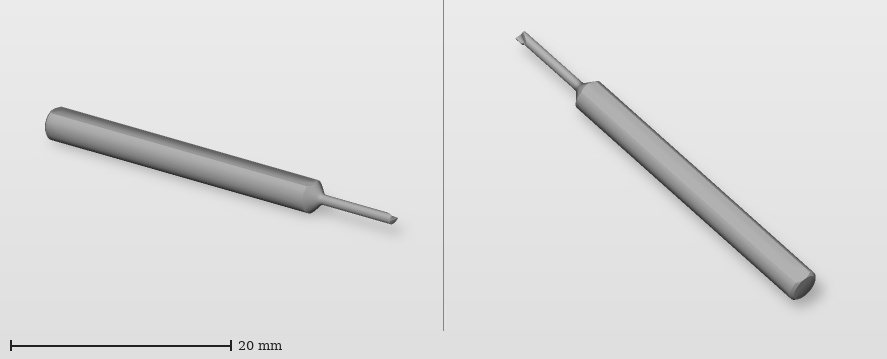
import cadquery as cq
import math


total_length = 38.1
shank_radius = 3.175 / 2
flat_height = 1.3225
back_chamfer = 0.25

neck_radius = 0.48
neck_length = 7.75
cone_angle = 45
blend_radius = 0.635

tooth_length = 0.86
tooth_projection = 0.14

pocket_back_y = 0.34
pocket_front_y = -0.06
pocket_wall_lean = 18

nose_back_off_above = 0.15
nose_back_off_below = 0.17
end_clearance_angle = 4

overshoot = 1.0

neck_start = total_length - neck_length
tooth_start = total_length - tooth_length
tip_y = neck_radius + tooth_projection


def make_turned_body():
    """Revolved shank, cone, blend and neck."""
    angle = math.radians(cone_angle)
    blend_start = neck_start - blend_radius * math.sin(angle)
    blend_start_radius = neck_radius + blend_radius * (1 - math.cos(angle))
    cone_start = blend_start - (shank_radius - blend_start_radius) / math.tan(angle)
    half_angle = angle / 2
    blend_middle = (
        neck_start - blend_radius * math.sin(half_angle),
        neck_radius + blend_radius * (1 - math.cos(half_angle)),
    )
    return (
        cq.Workplane("XZ")
        .moveTo(0, 0)
        .lineTo(0, shank_radius - back_chamfer)
        .lineTo(back_chamfer, shank_radius)
        .lineTo(cone_start, shank_radius)
        .lineTo(blend_start, blend_start_radius)
        .threePointArc(blend_middle, (neck_start, neck_radius))
        .lineTo(total_length, neck_radius)
        .lineTo(total_length, 0)
        .close()
        .revolve(360, (0, 0, 0), (1, 0, 0))
    )


def make_flat_cutter():
    """Block above the clamping flat."""
    width = 2 * shank_radius + 2 * overshoot
    return (
        cq.Workplane("XY", origin=(0, 0, flat_height))
        .rect(2 * total_length, width)
        .extrude(shank_radius)
    )


def make_tooth():
    """Lower half cylinder, shifted towards +Y from the neck axis."""
    return (
        cq.Workplane("YZ", origin=(tooth_start, tooth_projection, 0))
        .moveTo(-neck_radius, 0)
        .threePointArc((0, -neck_radius), (neck_radius, 0))
        .close()
        .extrude(tooth_length)
    )


def make_pocket_cutter():
    """Space above the rake face, closed by a leaning wall that runs diagonally to the end face."""
    slope = (pocket_front_y - pocket_back_y) / tooth_length
    outer_y = tip_y + overshoot
    outer_x = total_length + overshoot
    wall_back = (tooth_start + (outer_y - pocket_back_y) / slope, outer_y)
    wall_front = (outer_x, pocket_front_y + slope * overshoot)
    return (
        cq.Workplane("XY")
        .polyline([wall_back, wall_front, (outer_x, outer_y)])
        .close()
        .extrude(shank_radius, taper=-pocket_wall_lean)
    )


def make_end_cutter():
    """Everything in front of the end face, whose foremost line lies at axis height."""
    outer_x = total_length + overshoot
    top_x = total_length - nose_back_off_above
    bottom_x = total_length - nose_back_off_below
    profile = [
        (top_x, shank_radius),
        (top_x, neck_radius),
        (total_length, 0),
        (bottom_x, -neck_radius),
        (bottom_x, -shank_radius),
        (outer_x, -shank_radius),
        (outer_x, shank_radius),
    ]
    return (
        cq.Workplane("XZ")
        .polyline(profile)
        .close()
        .extrude(2 * shank_radius, both=True)
        .rotate((total_length, tip_y, 0), (total_length, tip_y, 1), -end_clearance_angle)
    )


result = (
    make_turned_body()
    .cut(make_flat_cutter())
    .union(make_tooth())
    .cut(make_pocket_cutter())
    .cut(make_end_cutter())
)